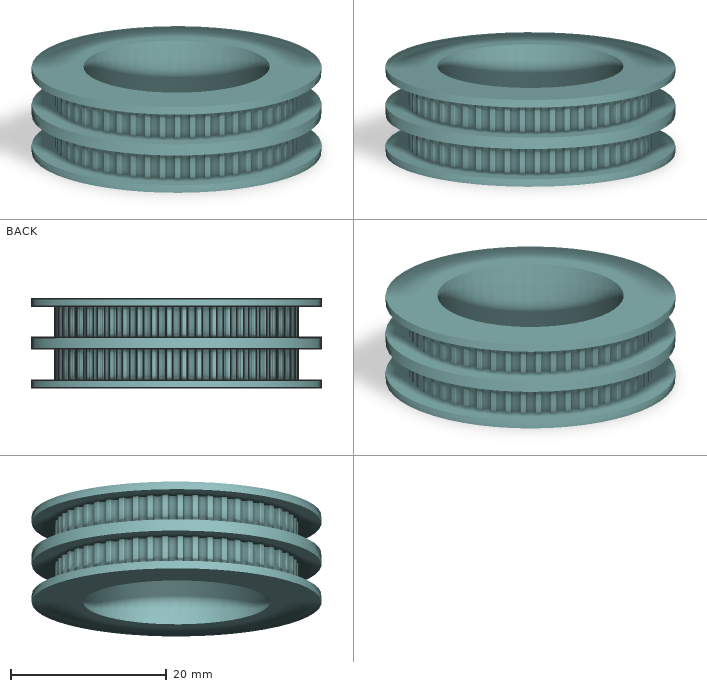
import cadquery as cq
import math

flange_diameter = 37.35
bore_diameter = 24.0

end_flange_height = 1.0
middle_flange_height = 1.5
track_height = 4.0
total_height = 2 * end_flange_height + middle_flange_height + 2 * track_height

tooth_count = 50
tooth_tip_diameter = 31.35
tooth_tip_radius = tooth_tip_diameter / 2

mouth_half_width = 0.75
shoulder_middle_half_width = 0.65
shoulder_middle_depth = 0.05
shoulder_half_width = 0.6
shoulder_depth = 0.13
flank_middle_half_width = 0.55
flank_middle_depth = 0.35
flank_half_width = 0.5
flank_depth = 0.52
groove_depth = 0.75

mouth_distance = math.sqrt(tooth_tip_radius**2 - mouth_half_width**2)
cutter_overshoot = 0.37
cutter_outer_distance = tooth_tip_radius + cutter_overshoot


def make_disc(diameter, bottom, height):
    """Solid disc around the Z axis, starting at the given height."""
    return cq.Workplane("XY").workplane(offset=bottom).circle(diameter / 2).extrude(height)


def make_groove_cutter(bottom):
    """Round-bottomed groove on the -Y side, as tall as one belt track."""

    def point(half_width, depth):
        return (half_width, depth - mouth_distance)

    return (
        cq.Workplane("XY")
        .workplane(offset=bottom)
        .moveTo(mouth_half_width, -cutter_outer_distance)
        .lineTo(*point(mouth_half_width, 0))
        .threePointArc(
            point(shoulder_middle_half_width, shoulder_middle_depth),
            point(shoulder_half_width, shoulder_depth),
        )
        .threePointArc(
            point(flank_middle_half_width, flank_middle_depth),
            point(flank_half_width, flank_depth),
        )
        .threePointArc(point(0, groove_depth), point(-flank_half_width, flank_depth))
        .threePointArc(
            point(-flank_middle_half_width, flank_middle_depth),
            point(-shoulder_half_width, shoulder_depth),
        )
        .threePointArc(
            point(-shoulder_middle_half_width, shoulder_middle_depth),
            point(-mouth_half_width, 0),
        )
        .lineTo(-mouth_half_width, -cutter_outer_distance)
        .close()
        .extrude(track_height)
    )


def make_track(bottom):
    """Toothed disc with evenly spaced grooves, one of them facing -Y."""
    groove = make_groove_cutter(bottom).val()
    cutters = [
        groove.rotate(cq.Vector(0, 0, 0), cq.Vector(0, 0, 1), index * 360 / tooth_count)
        for index in range(tooth_count)
    ]
    blank = make_disc(tooth_tip_diameter, bottom, track_height)
    return blank.cut(cq.Workplane(obj=cq.Compound.makeCompound(cutters)))


lower_track_bottom = end_flange_height
middle_flange_bottom = lower_track_bottom + track_height
upper_track_bottom = middle_flange_bottom + middle_flange_height
top_flange_bottom = upper_track_bottom + track_height

pulley = (
    make_disc(flange_diameter, 0, end_flange_height)
    .union(make_track(lower_track_bottom))
    .union(make_disc(flange_diameter, middle_flange_bottom, middle_flange_height))
    .union(make_track(upper_track_bottom))
    .union(make_disc(flange_diameter, top_flange_bottom, end_flange_height))
)

result = pulley.cut(make_disc(bore_diameter, 0, total_height))